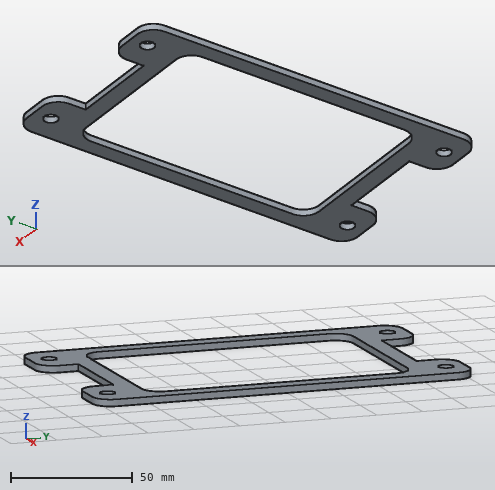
import cadquery as cq

width = 96.0
length = 165.0
thickness = 3.0
corner_radius = 8.0

window_width = 80.5
window_length = 116.2
window_radius = 8.0

notch_width = 41.9
notch_depth = 16.2

hole_diameter = 6.5
hole_spacing_x = 70.0
hole_spacing_y = 148.0


def make_plate():
    """Plate with notched ends and all outer ear corners rounded."""
    plate = cq.Workplane("XY").rect(width, length).extrude(thickness)
    notches = (
        cq.Workplane("XY")
        .pushPoints([(0, length / 2), (0, -length / 2)])
        .rect(notch_width, 2 * notch_depth)
        .extrude(thickness)
    )
    plate = plate.cut(notches)
    end_edges = plate.faces("<Y or >Y").edges("|Z")
    return end_edges.fillet(corner_radius)


def make_window():
    """Rounded rectangular opening through the plate."""
    block = cq.Workplane("XY").rect(window_width, window_length).extrude(thickness)
    return block.edges("|Z").fillet(window_radius)


def make_holes():
    """One through hole in each ear."""
    return (
        cq.Workplane("XY")
        .rect(hole_spacing_x, hole_spacing_y, forConstruction=True)
        .vertices()
        .circle(hole_diameter / 2)
        .extrude(thickness)
    )


result = make_plate().cut(make_window()).cut(make_holes())